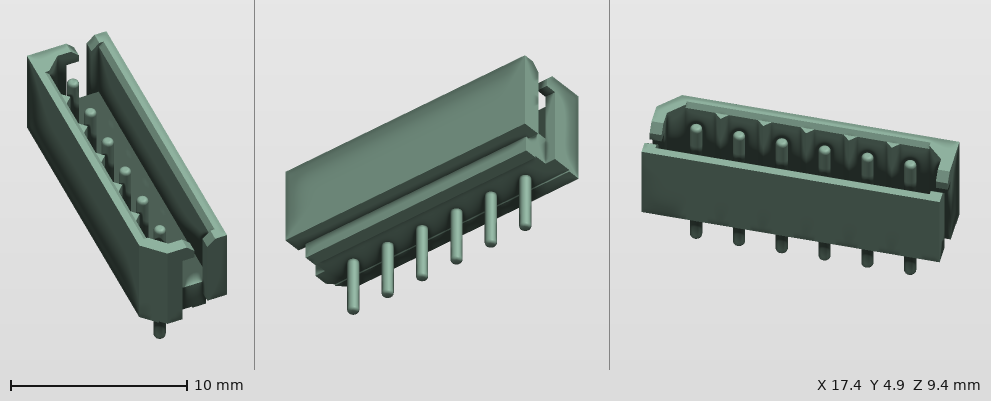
import cadquery as cq


LENGTH = 17.4
DEPTH = 4.9
HEIGHT = 5.9
CORNER_CUT = 1.22

END_WALL = 0.7
FRONT_WALL = 0.7
BACK_WALL = 0.77
BACK_WALL_END = 1.22
BACK_WALL_BOTTOM = 1.0
BASE_DEPTH = 3.92
FLOOR_TOP = 1.9
POCKET_CORNER_CUT = 0.89
END_WALL_DEPTH = 2.15

HOOK_DEPTH = 2.9
HOOK_HEIGHT = 1.0
LEAD_IN = 0.49

FRONT_RIM_BEVEL = 0.26
BACK_RIM_BEVEL = 0.3

FOOT_DEPTH = 0.85
FOOT_HEIGHT = 0.1

PIN_COUNT = 6
PIN_ROW_LENGTH = 12.5
PIN_DIAMETER = 0.7
PIN_Y = 1.8
PIN_TOP_DEPTH = 0.49
PIN_BOTTOM = -3.5
PIN_ROUNDING = 0.21

RIB_PROJECTION = 0.4

PIN_TOP = HEIGHT - PIN_TOP_DEPTH
PIN_PITCH = PIN_ROW_LENGTH / (PIN_COUNT - 1)
POCKET_LENGTH = LENGTH - 2 * END_WALL
POCKET_BACK = DEPTH - BACK_WALL
RIB_HEIGHT = HEIGHT - FRONT_RIM_BEVEL - FLOOR_TOP


def centred_positions(count):
    """X positions of a centred row at the pin pitch."""
    return [(i - (count - 1) / 2) * PIN_PITCH for i in range(count)]


def extrude_along_x(points, length, x_start):
    """Prism along X from a list of (y, z) points."""
    return cq.Workplane("YZ").workplane(offset=x_start).polyline(points).close().extrude(length)


def make_base():
    """Floor block behind the front block, as long as the pocket."""
    depth = BASE_DEPTH - END_WALL_DEPTH
    block = cq.Workplane("XY").box(POCKET_LENGTH, depth, FLOOR_TOP, centered=(True, False, False))
    return block.translate((0, END_WALL_DEPTH, 0))


def make_front():
    """Full-length front block with the latch hooks and the cut corner."""
    profile = [
        (0, 0),
        (END_WALL_DEPTH, 0),
        (END_WALL_DEPTH, HEIGHT - HOOK_HEIGHT),
        (HOOK_DEPTH, HEIGHT - HOOK_HEIGHT),
        (HOOK_DEPTH, HEIGHT - LEAD_IN),
        (HOOK_DEPTH - LEAD_IN, HEIGHT),
        (0, HEIGHT),
    ]
    block = extrude_along_x(profile, LENGTH, -LENGTH / 2)
    corner = (
        cq.Workplane("XY")
        .polyline([(LENGTH / 2 - CORNER_CUT, 0), (LENGTH / 2, 0), (LENGTH / 2, CORNER_CUT)])
        .close()
        .extrude(HEIGHT)
    )
    return block.cut(corner)


def make_back_wall():
    """Back wall at its end thickness, bevelled along its inner top edge."""
    inner_face = DEPTH - BACK_WALL_END
    profile = [
        (inner_face, BACK_WALL_BOTTOM),
        (DEPTH, BACK_WALL_BOTTOM),
        (DEPTH, HEIGHT),
        (inner_face + LEAD_IN, HEIGHT),
        (inner_face, HEIGHT - LEAD_IN),
    ]
    return extrude_along_x(profile, LENGTH, -LENGTH / 2)


def make_pocket():
    """Cavity above the floor, with both front corners cut at 45 degrees."""
    side = POCKET_LENGTH / 2
    outline = [
        (-side + POCKET_CORNER_CUT, FRONT_WALL),
        (side - POCKET_CORNER_CUT, FRONT_WALL),
        (side, FRONT_WALL + POCKET_CORNER_CUT),
        (side, POCKET_BACK),
        (-side, POCKET_BACK),
        (-side, FRONT_WALL + POCKET_CORNER_CUT),
    ]
    return cq.Workplane("XY").workplane(offset=FLOOR_TOP).polyline(outline).close().extrude(HEIGHT - FLOOR_TOP)


def make_front_rim_bevel():
    """Wedge removed from the straight part of the front rim."""
    profile = [
        (FRONT_WALL, HEIGHT),
        (FRONT_WALL - FRONT_RIM_BEVEL, HEIGHT),
        (FRONT_WALL, HEIGHT - FRONT_RIM_BEVEL),
    ]
    length = POCKET_LENGTH - 2 * POCKET_CORNER_CUT
    return extrude_along_x(profile, length, -length / 2)


def make_back_rim_bevel():
    """Wedge removed from the back rim over the whole pocket length."""
    profile = [
        (POCKET_BACK, HEIGHT),
        (POCKET_BACK + BACK_RIM_BEVEL, HEIGHT),
        (POCKET_BACK, HEIGHT - BACK_RIM_BEVEL),
    ]
    return extrude_along_x(profile, POCKET_LENGTH, -POCKET_LENGTH / 2)


def make_rib(x):
    """Triangular rib standing on the floor against the front wall."""
    outline = [
        (x - RIB_PROJECTION, FRONT_WALL),
        (x + RIB_PROJECTION, FRONT_WALL),
        (x, FRONT_WALL + RIB_PROJECTION),
    ]
    return cq.Workplane("XY").workplane(offset=FLOOR_TOP).polyline(outline).close().extrude(RIB_HEIGHT)


def make_foot_channel():
    """Shallow channel under the base that leaves a front and a back foot."""
    width = BASE_DEPTH - 2 * FOOT_DEPTH
    channel = cq.Workplane("XY").box(LENGTH, width, FOOT_HEIGHT, centered=(True, False, False))
    return channel.translate((0, FOOT_DEPTH, 0))


def make_pin_hole(x):
    """Through hole in the floor that fits one pin."""
    return cq.Workplane("XY").center(x, PIN_Y).circle(PIN_DIAMETER / 2).extrude(FLOOR_TOP)


def make_housing():
    """Open-topped shroud with ribs, feet and pin holes."""
    housing = make_base().union(make_front()).union(make_back_wall())
    housing = housing.cut(make_pocket())
    housing = housing.cut(make_front_rim_bevel()).cut(make_back_rim_bevel())
    for x in centred_positions(PIN_COUNT - 1):
        housing = housing.union(make_rib(x))
    housing = housing.cut(make_foot_channel())
    for x in centred_positions(PIN_COUNT):
        housing = housing.cut(make_pin_hole(x))
    return housing


def make_pin(x):
    """Round pin with both ends rounded over."""
    return (
        cq.Workplane("XY")
        .workplane(offset=PIN_BOTTOM)
        .center(x, PIN_Y)
        .circle(PIN_DIAMETER / 2)
        .extrude(PIN_TOP - PIN_BOTTOM)
        .faces("<Z or >Z")
        .edges()
        .fillet(PIN_ROUNDING)
    )


housing = make_housing()
pins = [make_pin(x) for x in centred_positions(PIN_COUNT)]

result = cq.Compound.makeCompound([housing.solids().val(), *[pin.val() for pin in pins]])